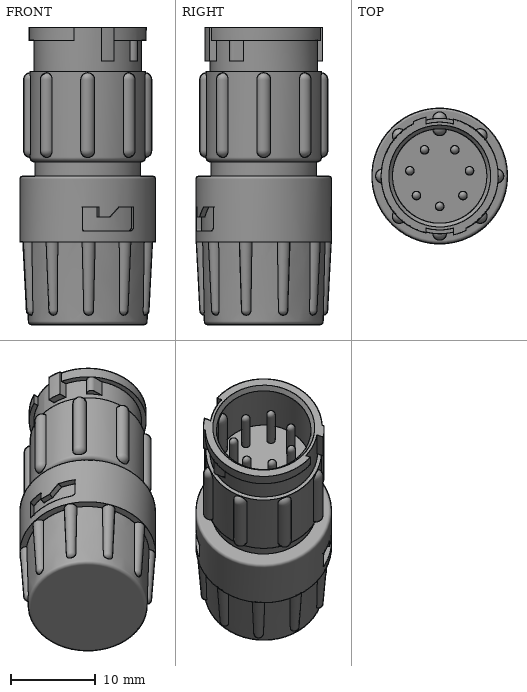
import cadquery as cq
import math

total_height = 35.05
grip_rib_end = 1.7
nut_bottom = 9.77
nut_top = 17.51
sleeve_bottom = 19.2
sleeve_top = 29.85

grip_end_radius = 7.0
grip_start_radius = 7.25
grip_edge_fillet = 0.4
nut_radius = 8.0
nut_edge_fillet = 0.35
groove_radius = 6.24
sleeve_radius = 6.8
sleeve_edge_fillet = 0.5
neck_radius = 6.35

flange_radius = 6.9
flange_height = 1.55
gap_half_width = 1.6

key_depth = 4.0
gap_key_radius = 7.12
gap_key_width = 1.5
side_key_angle = -33.0
side_key_nose_radius = 0.57

socket_radius = 5.56
socket_depth = 7.85
mouth_bevel = 0.44
mouth_bevel_depth = 0.55
socket_rib_radius = 0.8
socket_rib_tip_depth = 0.85

pin_count = 7
pin_radius = 0.5
pin_ring_radius = 3.57
pin_pitch = 50.0
pin_tip_depth = 2.0
middle_pin_angle = -90.0

sleeve_rib_count = 8
sleeve_rib_radius = 0.82
sleeve_rib_axis_radius = 6.73
sleeve_rib_bottom = 19.7
sleeve_rib_top = 29.7

grip_rib_count = 10
grip_rib_first_angle = -89.1
grip_rib_top_radius = 0.77
grip_rib_end_radius = 0.58
grip_rib_top_axis_radius = 7.2
grip_rib_end_axis_radius = 6.96
grip_rib_top = nut_bottom + 0.1

recess_turn = 19.0
recess_floor_radius = 7.35
recess_half_width = 3.18
recess_bottom = 11.06
recess_top = 13.9
tab_bottom = 12.7
tab_left = -1.32
tab_right = 0.0
recess_left_fillet = 0.2
recess_right_fillet = 0.5


def cylinder(radius, bottom, top):
    return cq.Workplane("XY").workplane(offset=bottom).circle(radius).extrude(top - bottom)


def round_pin(radius, bottom, tip, x, y):
    """Vertical pin with a hemispherical tip."""
    shoulder = tip - radius
    dome = cq.Workplane("XY").sphere(radius).translate((x, y, shoulder))
    return cylinder(radius, bottom, shoulder).translate((x, y, 0)).union(dome)


def half_turn(shape):
    return shape.rotate((0, 0, 0), (0, 0, 1), 180)


def make_grip():
    cone = (
        cq.Workplane("XY").circle(grip_end_radius)
        .workplane(offset=nut_bottom).circle(grip_start_radius).loft()
    )
    return cone.faces("<Z").edges().fillet(grip_edge_fillet)


def make_grip_rib(angle):
    """Cone with a domed lower end, leaning inwards towards that end."""
    height = grip_rib_top - grip_rib_end
    lean = grip_rib_top_axis_radius - grip_rib_end_axis_radius
    length = math.hypot(height, lean)
    lean_angle = math.degrees(math.atan2(lean, height))
    dome_mid = grip_rib_end_radius * math.sqrt(0.5)
    rib = (
        cq.Workplane("XZ")
        .moveTo(0, -grip_rib_end_radius)
        .threePointArc((dome_mid, -dome_mid), (grip_rib_end_radius, 0))
        .lineTo(grip_rib_top_radius, length)
        .lineTo(0, length)
        .close().revolve(360, (0, 0, 0), (0, 1, 0))
    )
    rib = rib.rotate((0, 0, 0), (0, 1, 0), lean_angle)
    return rib.translate((grip_rib_end_axis_radius, 0, grip_rib_end)).rotate((0, 0, 0), (0, 0, 1), angle)


def make_nut():
    nut = cylinder(nut_radius, nut_bottom, nut_top).faces(">Z").edges().fillet(nut_edge_fillet)
    recess = make_recess()
    return nut.cut(recess).cut(half_turn(recess))


def make_recess():
    """J-shaped pocket sunk from the -Y side down to a cylindrical floor."""
    tab_slope_end = tab_right + recess_top - tab_bottom
    outline = (
        cq.Workplane("XZ")
        .moveTo(-recess_half_width, recess_bottom)
        .lineTo(recess_half_width, recess_bottom)
        .lineTo(recess_half_width, recess_top)
        .lineTo(tab_slope_end, recess_top)
        .lineTo(tab_right, tab_bottom)
        .lineTo(tab_left, tab_bottom)
        .lineTo(tab_left, recess_top)
        .lineTo(-recess_half_width, recess_top)
        .close()
    )
    prism = outline.extrude(2 * nut_radius)
    prism = prism.edges("|Y and <Z and <X").fillet(recess_left_fillet)
    prism = prism.edges("|Y and <Z and >X").fillet(recess_right_fillet)
    floor = cylinder(recess_floor_radius, nut_bottom, nut_top)
    return prism.cut(floor).rotate((0, 0, 0), (0, 0, 1), recess_turn)


def make_sleeve():
    sleeve = cylinder(sleeve_radius, sleeve_bottom, sleeve_top)
    sleeve = sleeve.faces("<Z").edges().fillet(sleeve_edge_fillet)
    for index in range(sleeve_rib_count):
        sleeve = sleeve.union(make_sleeve_rib(360 * index / sleeve_rib_count))
    return sleeve


def make_sleeve_rib(angle):
    lower_center = sleeve_rib_bottom + sleeve_rib_radius
    x = sleeve_rib_axis_radius
    rib = round_pin(sleeve_rib_radius, lower_center, sleeve_rib_top, x, 0)
    lower_dome = cq.Workplane("XY").sphere(sleeve_rib_radius).translate((x, 0, lower_center))
    return rib.union(lower_dome).rotate((0, 0, 0), (0, 0, 1), angle)


def make_flange():
    bottom = total_height - flange_height
    gaps = (
        cq.Workplane("XY").workplane(offset=bottom)
        .rect(2 * gap_half_width, 4 * flange_radius).extrude(flange_height)
    )
    return cylinder(flange_radius, bottom, total_height).cut(gaps)


def make_gap_key():
    """Key on the -Y side, along the +X edge of the flange gap."""
    bottom = total_height - key_depth
    block = (
        cq.Workplane("XY").workplane(offset=bottom)
        .moveTo(gap_half_width, -neck_radius + gap_key_width)
        .lineTo(gap_half_width + gap_key_width, -neck_radius + gap_key_width)
        .lineTo(gap_half_width + gap_key_width, -gap_key_radius)
        .lineTo(gap_half_width, -gap_key_radius)
        .close().extrude(key_depth)
    )
    return block.intersect(cylinder(gap_key_radius, bottom, total_height))


def make_side_key():
    """Key under the flange between +X and -Y: a round nose with a flat running into the neck."""
    bottom = total_height - key_depth
    top = total_height - flange_height
    angle = math.radians(side_key_angle)
    nose_x = neck_radius * math.cos(angle)
    nose_y = neck_radius * math.sin(angle)
    flat_x = nose_x + side_key_nose_radius
    flat_end_y = -math.sqrt(neck_radius**2 - flat_x**2)
    nose = cylinder(side_key_nose_radius, bottom, top).translate((nose_x, nose_y, 0))
    flat = (
        cq.Workplane("XY").workplane(offset=bottom)
        .moveTo(nose_x, nose_y)
        .lineTo(flat_x, nose_y)
        .lineTo(flat_x, flat_end_y)
        .lineTo(nose_x, flat_end_y)
        .close().extrude(top - bottom)
    )
    return nose.union(flat)


def make_socket():
    mouth_radius = socket_radius + mouth_bevel
    bore = cylinder(socket_radius, total_height - socket_depth, total_height)
    bevel = (
        cq.Workplane("XY").workplane(offset=total_height - mouth_bevel_depth).circle(socket_radius)
        .workplane(offset=mouth_bevel_depth).circle(mouth_radius).loft()
    )
    return bore.union(bevel)


def make_pins():
    floor = total_height - socket_depth
    root = floor - pin_radius
    pins = round_pin(socket_rib_radius, root, total_height - socket_rib_tip_depth, 0, socket_radius)
    for index in range(pin_count):
        steps_from_middle = index - pin_count // 2
        angle = math.radians(middle_pin_angle + steps_from_middle * pin_pitch)
        x = pin_ring_radius * math.cos(angle)
        y = pin_ring_radius * math.sin(angle)
        pins = pins.union(round_pin(pin_radius, root, total_height - pin_tip_depth, x, y))
    return pins


body = make_grip()
for rib_index in range(grip_rib_count):
    body = body.union(make_grip_rib(grip_rib_first_angle + 360 * rib_index / grip_rib_count))
body = body.union(make_nut())
body = body.union(cylinder(groove_radius, nut_top, sleeve_bottom))
body = body.union(make_sleeve())
body = body.union(cylinder(neck_radius, sleeve_top, total_height))
body = body.union(make_flange())
for key in (make_gap_key(), make_side_key()):
    body = body.union(key).union(half_turn(key))

result = body.cut(make_socket()).union(make_pins())